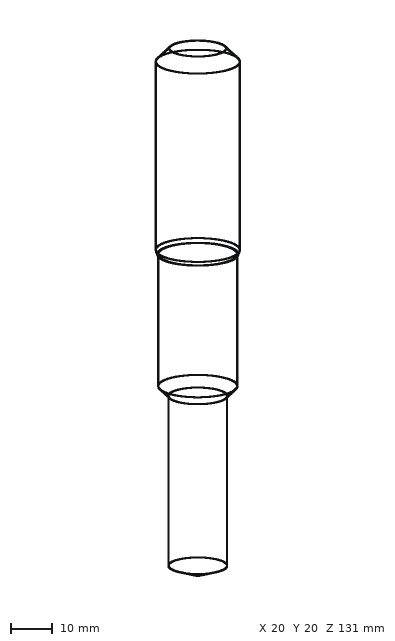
import cadquery as cq
import math

total_length = 131.0

shank_diameter = 20.0
shank_bottom_z = 79.9
shank_top_chamfer = 3.3
shank_taper_height = 1.0
shank_taper_inset = 0.4

step_diameter = 18.9
step_start_z = 47.2
pilot_diameter = 14.0
point_angle = 140.0

shank_radius = shank_diameter / 2
step_radius = step_diameter / 2
pilot_radius = pilot_diameter / 2
point_height = pilot_radius / math.tan(math.radians(point_angle / 2))
step_bevel_height = step_radius - pilot_radius


def revolve_profile(points):
    """Turn a closed half profile of (radius, height) points about Z."""
    return (
        cq.Workplane("XZ")
        .polyline(points)
        .close()
        .revolve(360, (0, 0, 0), (0, 1, 0))
    )


def make_shank():
    """Shank whose lower end tapers slightly towards the drill step."""
    return revolve_profile([
        (0, shank_bottom_z),
        (shank_radius - shank_taper_inset, shank_bottom_z),
        (shank_radius, shank_bottom_z + shank_taper_height),
        (shank_radius, total_length - shank_top_chamfer),
        (shank_radius - shank_top_chamfer, total_length),
        (0, total_length),
    ])


def make_cutting_part():
    """Stepped drill that meets the flat lower end of the shank."""
    return revolve_profile([
        (0, 0),
        (pilot_radius, point_height),
        (pilot_radius, step_start_z - step_bevel_height),
        (step_radius, step_start_z),
        (step_radius, shank_bottom_z),
        (0, shank_bottom_z),
    ])


shank = make_shank()
cutting_part = make_cutting_part()

result = cq.Compound.makeCompound([shank.val(), cutting_part.val()])